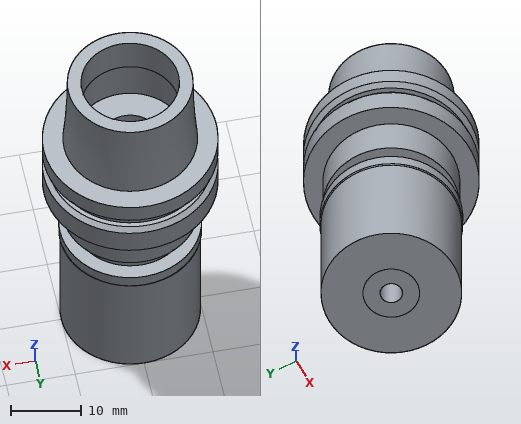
import cadquery as cq

TOTAL_HEIGHT = 53.0

NUT_RADIUS = 10.0
COLLAR_RADIUS = 10.2
COLLAR_BEVEL_BOTTOM_Z = 18.4
COLLAR_BEVEL_TOP_Z = 18.55
NUT_TOP_Z = 20.5

NECK_RADIUS = 8.05
NECK_TOP_Z = 23.5
SHANK_RADIUS = 9.75
FLANGE_RADIUS = 12.5
FLANGE_BOTTOM_Z = 30.0
FLANGE_TOP_Z = 40.0
GROOVE_RADIUS = 11.0
GROOVE_BOTTOM_Z = 34.5
GROOVE_TOP_Z = 36.5
GROOVE_BEVEL_HEIGHT = 0.55
GROOVE_BEVEL_WIDTH = 0.8

CONE_BASE_RADIUS = 9.6
CONE_TOP_RADIUS = 8.95

MOUTH_RADIUS = 7.0
MOUTH_DEPTH = 5.5
CAVITY_RADIUS = 7.95
CAVITY_FLOOR_Z = FLANGE_TOP_Z

COLLET_RADIUS = 4.05
COLLET_BORE_RADIUS = 1.6
COLLET_TOP_Z = NECK_TOP_Z


def cylinder(radius, bottom_z, top_z):
    """Upright cylinder on the Z axis."""
    return cq.Workplane("XY").workplane(offset=bottom_z).circle(radius).extrude(top_z - bottom_z)


def cone_mid_point():
    """Point halfway up the cone side, on a shallow arc whose tangent is vertical at the top."""
    height = TOTAL_HEIGHT - FLANGE_TOP_Z
    spread = CONE_BASE_RADIUS - CONE_TOP_RADIUS
    arc_radius = (height**2 + spread**2) / (2 * spread)
    half_height = height / 2
    mid_spread = arc_radius - (arc_radius**2 - half_height**2) ** 0.5
    return CONE_TOP_RADIUS + mid_spread, FLANGE_TOP_Z + half_height


def make_holder():
    """Holder with its neck, grooved flange, hollow cone and collet bore."""
    bevel_radius = FLANGE_RADIUS - GROOVE_BEVEL_WIDTH
    outside = (
        cq.Workplane("XZ")
        .moveTo(0, NUT_TOP_Z)
        .lineTo(NECK_RADIUS, NUT_TOP_Z)
        .lineTo(NECK_RADIUS, NECK_TOP_Z)
        .lineTo(SHANK_RADIUS, NECK_TOP_Z)
        .lineTo(SHANK_RADIUS, FLANGE_BOTTOM_Z)
        .lineTo(FLANGE_RADIUS, FLANGE_BOTTOM_Z)
        .lineTo(FLANGE_RADIUS, GROOVE_BOTTOM_Z - GROOVE_BEVEL_HEIGHT)
        .lineTo(bevel_radius, GROOVE_BOTTOM_Z)
        .lineTo(GROOVE_RADIUS, GROOVE_BOTTOM_Z)
        .lineTo(GROOVE_RADIUS, GROOVE_TOP_Z)
        .lineTo(bevel_radius, GROOVE_TOP_Z)
        .lineTo(FLANGE_RADIUS, GROOVE_TOP_Z + GROOVE_BEVEL_HEIGHT)
        .lineTo(FLANGE_RADIUS, FLANGE_TOP_Z)
        .lineTo(CONE_BASE_RADIUS, FLANGE_TOP_Z)
        .threePointArc(cone_mid_point(), (CONE_TOP_RADIUS, TOTAL_HEIGHT))
        .lineTo(0, TOTAL_HEIGHT)
        .close()
        .revolve(360, (0, 0), (0, 1))
    )
    mouth_bottom_z = TOTAL_HEIGHT - MOUTH_DEPTH
    mouth = cylinder(MOUTH_RADIUS, mouth_bottom_z, TOTAL_HEIGHT)
    cavity = cylinder(CAVITY_RADIUS, CAVITY_FLOOR_Z, mouth_bottom_z)
    collet_bore = cylinder(COLLET_RADIUS, NUT_TOP_Z, CAVITY_FLOOR_Z)
    return outside.cut(mouth).cut(cavity).cut(collet_bore)


def make_nut():
    """Clamping nut with a slightly wider bevelled collar at its top."""
    return (
        cq.Workplane("XZ")
        .moveTo(COLLET_RADIUS, 0)
        .lineTo(NUT_RADIUS, 0)
        .lineTo(NUT_RADIUS, COLLAR_BEVEL_BOTTOM_Z)
        .lineTo(COLLAR_RADIUS, COLLAR_BEVEL_TOP_Z)
        .lineTo(COLLAR_RADIUS, NUT_TOP_Z)
        .lineTo(COLLET_RADIUS, NUT_TOP_Z)
        .close()
        .revolve(360, (0, 0), (0, 1))
    )


def make_collet():
    """Straight sleeve passing through the nut into the holder."""
    sleeve = cylinder(COLLET_RADIUS, 0, COLLET_TOP_Z)
    return sleeve.cut(cylinder(COLLET_BORE_RADIUS, 0, COLLET_TOP_Z))


holder = make_holder()
nut = make_nut()
collet = make_collet()

result = cq.Compound.makeCompound([holder.val(), nut.val(), collet.val()])